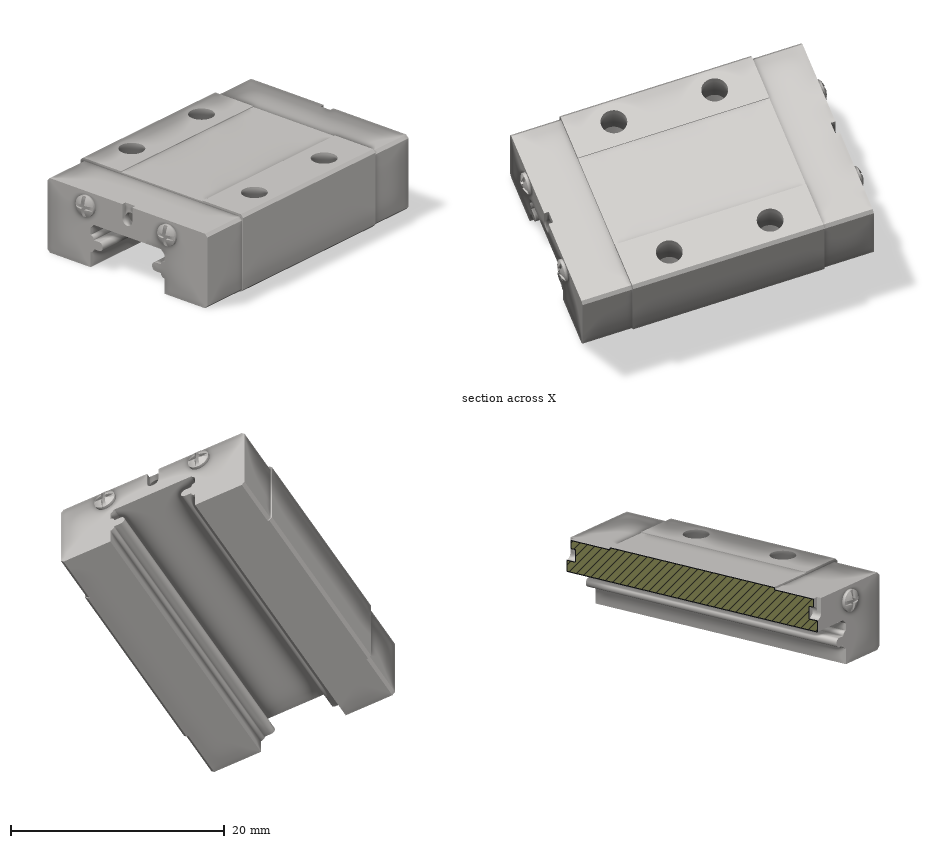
import cadquery as cq
import math

OVERALL_LENGTH = 30.25
BLOCK_WIDTH = 20.0
BLOCK_LENGTH = 19.05
BLOCK_HEIGHT = 8.0
EDGE_CHAMFER = 0.3

RELIEF_WIDTH = 10.0
RELIEF_DEPTH = 0.1

CAP_WIDTH = 19.65
CAP_HEIGHT = 7.68
BODY_LENGTH = 29.0

CHANNEL_HALF_WIDTH = 4.55
CHANNEL_HEIGHT = 4.48
CHANNEL_CORNER = 0.42
LIP_HEIGHT = 2.45
LIP_HALF_THICKNESS = 0.45
LIP_TIP = 3.02
LIP_BLEND = 0.42

MOUNT_DIAMETER = 2.5
MOUNT_DEPTH = 3.02
MOUNT_SPACING_X = 15.05
MOUNT_SPACING_Y = 10.05
DRILL_POINT_ANGLE = 118.0

SCREW_SPACING = 10.0
SCREW_HEIGHT = 6.23
SCREW_DIAMETER = 2.18
SCREW_RIM = 0.3
SCREW_SLOT_WIDTH = 0.42
SCREW_SLOT_DEPTH = 0.3

PORT_DIAMETER = 1.2
PORT_HEIGHT = 6.23
PORT_DEPTH = 0.97
PORT_SLOT_DEPTH = 0.45


def chamfered_bar(width, length, height):
    """Bar centred on X and Y, standing on Z = 0, with its long edges chamfered."""
    bar = cq.Workplane("XY").box(width, length, height, centered=(True, True, False))
    return bar.edges("|Y").chamfer(EDGE_CHAMFER)


def make_body():
    """Block and end caps, with the relief cut along the top of the block."""
    block = chamfered_bar(BLOCK_WIDTH, BLOCK_LENGTH, BLOCK_HEIGHT)
    relief = (
        cq.Workplane("XY", origin=(0, 0, BLOCK_HEIGHT))
        .box(RELIEF_WIDTH, BLOCK_LENGTH, 2 * RELIEF_DEPTH)
    )
    return block.cut(relief).union(chamfered_bar(CAP_WIDTH, BODY_LENGTH, CAP_HEIGHT))


def half_channel():
    """The +X half of the rail channel, running the full length of the body."""
    lip_bottom = LIP_HEIGHT - LIP_HALF_THICKNESS
    lip_top = LIP_HEIGHT + LIP_HALF_THICKNESS
    lip_root = CHANNEL_HALF_WIDTH - LIP_BLEND
    nose_start = LIP_TIP + LIP_HALF_THICKNESS
    return (
        cq.Workplane("XZ", origin=(0, BODY_LENGTH / 2, 0))
        .moveTo(0, 0)
        .lineTo(CHANNEL_HALF_WIDTH, 0)
        .lineTo(CHANNEL_HALF_WIDTH, lip_bottom - LIP_BLEND)
        .radiusArc((lip_root, lip_bottom), LIP_BLEND)
        .lineTo(nose_start, lip_bottom)
        .threePointArc((LIP_TIP, LIP_HEIGHT), (nose_start, lip_top))
        .lineTo(lip_root, lip_top)
        .radiusArc((CHANNEL_HALF_WIDTH, lip_top + LIP_BLEND), LIP_BLEND)
        .lineTo(CHANNEL_HALF_WIDTH, CHANNEL_HEIGHT - CHANNEL_CORNER)
        .lineTo(CHANNEL_HALF_WIDTH - CHANNEL_CORNER, CHANNEL_HEIGHT)
        .lineTo(0, CHANNEL_HEIGHT)
        .close()
        .extrude(BODY_LENGTH)
    )


def mounting_holes():
    """Four drilled holes entering from the top of the block."""
    radius = MOUNT_DIAMETER / 2
    cone_depth = radius / math.tan(math.radians(DRILL_POINT_ANGLE / 2))
    drill = (
        cq.Workplane("XZ")
        .polyline([(0, 0), (radius, 0), (radius, -MOUNT_DEPTH), (0, -MOUNT_DEPTH - cone_depth)])
        .close()
        .revolve(360, (0, 0, 0), (0, 1, 0))
        .val()
    )
    return (
        cq.Workplane("XY", origin=(0, 0, BLOCK_HEIGHT))
        .rarray(MOUNT_SPACING_X, MOUNT_SPACING_Y, 2, 2)
        .eachpoint(lambda place: drill.moved(place), combine=False)
    )


def grease_port():
    """Port cut into the -Y cap face."""
    front = cq.Workplane("XZ", origin=(0, -BODY_LENGTH / 2, 0))
    hole = front.center(0, PORT_HEIGHT).circle(PORT_DIAMETER / 2).extrude(-PORT_DEPTH)
    slot_height = CAP_HEIGHT - PORT_HEIGHT
    slot = (
        front.center(0, PORT_HEIGHT + slot_height / 2)
        .rect(PORT_DIAMETER, slot_height)
        .extrude(-PORT_SLOT_DEPTH)
    )
    return hole.union(slot)


def screw_head():
    """Domed cross-slot head on the -Y cap face, centred on X = 0."""
    radius = SCREW_DIAMETER / 2
    corner_radius = SCREW_SLOT_WIDTH / math.sqrt(2)
    corner_height = (OVERALL_LENGTH - BODY_LENGTH) / 2 - SCREW_RIM
    center_drop = (radius**2 - corner_radius**2 - corner_height**2) / (2 * corner_height)
    dome_radius = math.hypot(radius, center_drop)
    crown_height = SCREW_RIM + dome_radius - center_drop
    face = -BODY_LENGTH / 2
    head = (
        cq.Workplane("XY")
        .moveTo(0, face)
        .lineTo(radius, face)
        .lineTo(radius, face - SCREW_RIM)
        .radiusArc((0, face - crown_height), dome_radius)
        .close()
        .revolve(360, (0, 0, 0), (0, 1, 0))
    )
    cross = (
        cq.Workplane("XZ", origin=(0, -OVERALL_LENGTH / 2, 0))
        .rect(SCREW_DIAMETER, SCREW_SLOT_WIDTH)
        .extrude(SCREW_SLOT_DEPTH, both=True)
    )
    cross = cross.union(cross.rotate((0, 0, 0), (0, 1, 0), 90))
    return head.cut(cross).translate((0, 0, SCREW_HEIGHT))


channel = half_channel()
port = grease_port()
result = (
    make_body()
    .cut(channel)
    .cut(channel.mirror("YZ"))
    .cut(mounting_holes())
    .cut(port)
    .cut(port.mirror("XZ"))
)

for side in (-1, 1):
    screw = screw_head().translate((side * SCREW_SPACING / 2, 0, 0))
    result = result.union(screw).union(screw.mirror("XZ"))